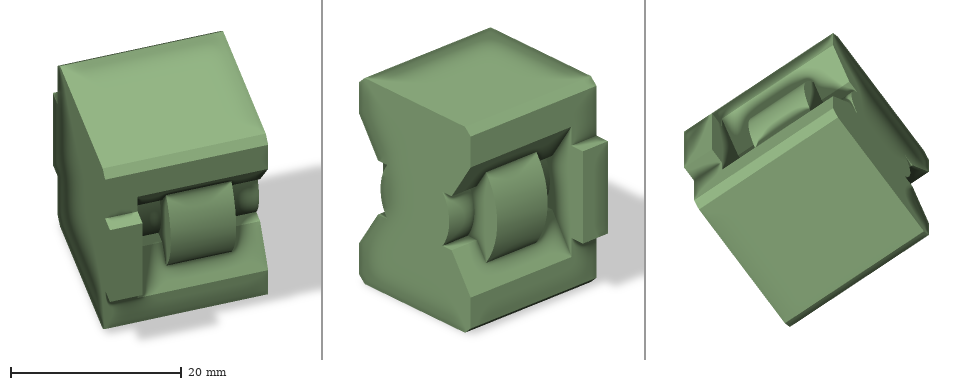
import cadquery as cq

body_width = 19.5
body_depth = 20.0
body_height = 27.0
chamfer_x = 1.0
chamfer_z = 0.92

flange_width = 23.5
flange_height = 12.1
flange_thickness = 4.0

mouth_height = 17.06
floor_height = 7.07
wall_foot_x = 6.43
floor_radius = 6.0

band_radius = 10.0
band_width = 8.02
pocket_length = body_depth - flange_thickness
band_start = flange_thickness + (pocket_length - band_width) / 2


def make_body():
    """Rectangular block with its four long edges chamfered."""
    half_x = body_width / 2
    half_z = body_height / 2
    return (
        cq.Workplane("XZ")
        .moveTo(half_x, half_z - chamfer_z)
        .lineTo(half_x - chamfer_x, half_z)
        .lineTo(chamfer_x - half_x, half_z)
        .lineTo(-half_x, half_z - chamfer_z)
        .lineTo(-half_x, chamfer_z - half_z)
        .lineTo(chamfer_x - half_x, -half_z)
        .lineTo(half_x - chamfer_x, -half_z)
        .lineTo(half_x, chamfer_z - half_z)
        .close()
        .extrude(-body_depth)
    )


def make_flange():
    return cq.Workplane("XZ").rect(flange_width, flange_height).extrude(-flange_thickness)


def make_pocket(side):
    """Cutter for one side (-1 or 1): sloped walls, then straight ones, down to a convex floor."""
    mouth_x = side * body_width / 2
    floor_x = side * (floor_radius**2 - (floor_height / 2) ** 2) ** 0.5
    return (
        cq.Workplane("XZ", origin=(0, flange_thickness, 0))
        .moveTo(mouth_x, mouth_height / 2)
        .lineTo(side * wall_foot_x, floor_height / 2)
        .lineTo(floor_x, floor_height / 2)
        .threePointArc((side * floor_radius, 0), (floor_x, -floor_height / 2))
        .lineTo(side * wall_foot_x, -floor_height / 2)
        .lineTo(mouth_x, -mouth_height / 2)
        .close()
        .extrude(-pocket_length)
    )


def make_band():
    return cq.Workplane("XZ", origin=(0, band_start, 0)).circle(band_radius).extrude(-band_width)


result = make_body().union(make_flange())
for side in (-1, 1):
    result = result.cut(make_pocket(side))
result = result.union(make_band())
result = result.translate((0, -body_depth / 2, 0))